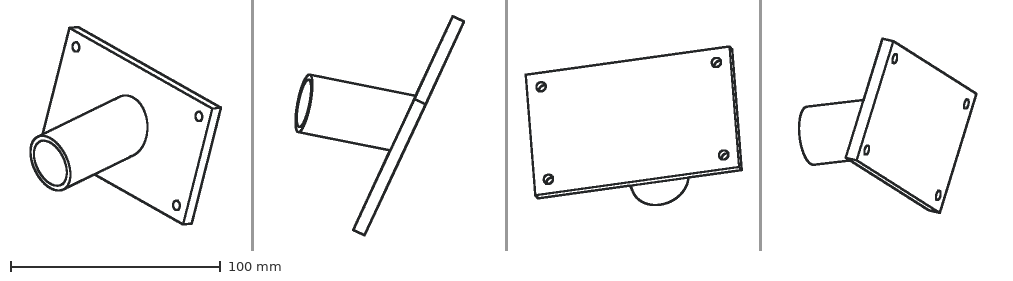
import cadquery as cq

plate_width = 100.0
plate_height = 60.0
plate_thickness = 6.0
tilt_angle = 18.5

hole_diameter = 4.5
hole_inset = 7.0

tube_outer_diameter = 28.0
tube_inner_diameter = 23.0
tube_length = 49.3


def make_plate():
    """Drilled plate with the centre of its front face at the origin."""
    plate = cq.Workplane("XY").box(
        plate_width, plate_thickness, plate_height, centered=(True, False, True)
    )
    holes = (
        cq.Workplane("XZ")
        .rect(plate_width - 2 * hole_inset, plate_height - 2 * hole_inset, forConstruction=True)
        .vertices()
        .circle(hole_diameter / 2)
        .extrude(-plate_thickness)
    )
    return plate.cut(holes).rotate((0, 0, 0), (1, 0, 0), -tilt_angle)


def make_tube():
    """Tube along Y, trimmed flush against the plate's tilted front face."""
    overrun = tube_outer_diameter / 2
    tube = (
        cq.Workplane("XZ", origin=(0, overrun, 0))
        .circle(tube_outer_diameter / 2)
        .circle(tube_inner_diameter / 2)
        .extrude(tube_length + overrun)
    )
    behind_plate_face = (
        cq.Workplane("XY")
        .box(plate_width, plate_height, plate_height, centered=(True, False, True))
        .rotate((0, 0, 0), (1, 0, 0), -tilt_angle)
    )
    return tube.cut(behind_plate_face)


result = make_plate().union(make_tube())